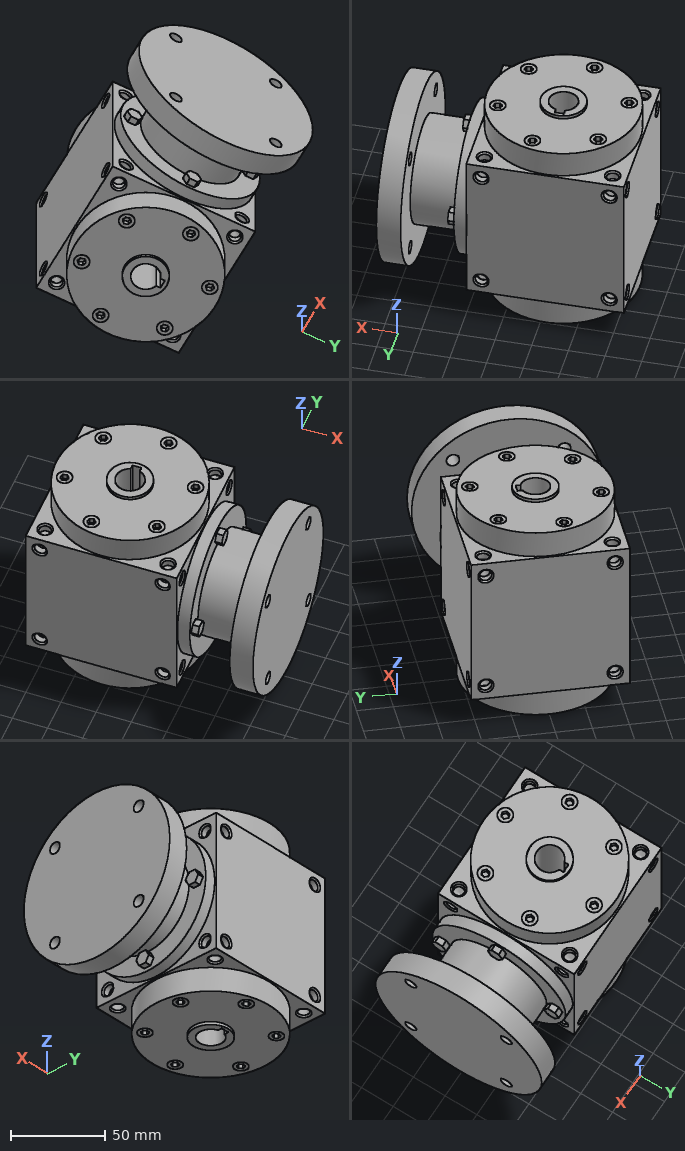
import cadquery as cq
import math


cube_side = 86.0
half_cube = cube_side / 2
cover_diameter = 84.0
cover_height = 15.0
collar_diameter = 25.0
overall_height = 120.0
half_height = overall_height / 2

bore_diameter = 16
keyway_width = 5.0
keyway_reach = 10.2

mount_offset = 35.0
mount_diameter = 6.6
mount_mouth_diameter = 8.5
mount_depth = 4.8
drill_tip_angle = 118

hexagon_sides = 6

screw_count = 6
screw_circle_radius = 35.0
screw_first_angle = 15
screw_head_diameter = 8.5
screw_head_recess = 0.07
socket_flats = 4
socket_depth = 3.2

overall_length = 133
plate_diameter = cover_diameter
plate_thickness = 7.0
neck_diameter = 60.0
flange_diameter = 105.0
flange_thickness = 13.3
flange_end = overall_length - half_cube
flange_face = flange_end - flange_thickness
flange_hole_count = 4
flange_hole_diameter = 7.0
flange_hole_circle_radius = 42.5
flange_hole_first_angle = 45

bolt_count = 4
bolt_circle_radius = 35.5
bolt_flats = 8
bolt_head_height = 3.9
plate_face = half_cube + plate_thickness


def corners_across(flats):
    """Corner-to-corner width of a hexagon with the given width across flats."""
    return flats / math.cos(math.pi / hexagon_sides)


def polar_points(radius, count, first_angle):
    """Evenly spaced points on a circle."""
    angles = [math.radians(first_angle + i * 360 / count) for i in range(count)]
    return [(radius * math.cos(angle), radius * math.sin(angle)) for angle in angles]


def x_cylinder(diameter, start, end):
    """Cylinder on the X axis between two X positions."""
    return cq.Workplane("YZ").workplane(offset=start).circle(diameter / 2).extrude(end - start)


def make_mounting_holes():
    """Four countersunk blind holes with drilled tips, cut downward from the top face of the cube."""
    hole_radius = mount_diameter / 2
    mouth_radius = mount_mouth_diameter / 2
    countersink_depth = mouth_radius - hole_radius
    tip_depth = hole_radius / math.tan(math.radians(drill_tip_angle / 2))
    hole = (
        cq.Workplane("XZ")
        .moveTo(0, 0)
        .lineTo(mouth_radius, 0)
        .lineTo(hole_radius, -countersink_depth)
        .lineTo(hole_radius, -mount_depth)
        .lineTo(0, -mount_depth - tip_depth)
        .close()
        .revolve(360, (0, 0, 0), (0, 1, 0))
        .val()
    )
    return (
        cq.Workplane("XY")
        .workplane(offset=half_cube)
        .rect(2 * mount_offset, 2 * mount_offset, forConstruction=True)
        .vertices()
        .eachpoint(lambda place: hole.moved(place))
    )


def make_cover_screw_recesses():
    """Shallow screw head recesses and hexagon sockets in the top cover, turned to follow their circle."""
    centres = polar_points(screw_circle_radius, screw_count, 0)
    cover_face = cq.Workplane("XY").workplane(offset=half_cube + cover_height)
    screw_places = cover_face.pushPoints(centres)
    recesses = screw_places.circle(screw_head_diameter / 2).extrude(-screw_head_recess)
    sockets = screw_places.polygon(hexagon_sides, corners_across(socket_flats)).extrude(-socket_depth)
    return recesses.union(sockets).rotate((0, 0, 0), (0, 0, 1), screw_first_angle)


def make_bore():
    """Through bore and keyway along Z."""
    bore = cq.Workplane("XY").circle(bore_diameter / 2).extrude(half_height, both=True)
    keyway = cq.Workplane("XY").box(keyway_width, keyway_reach, overall_height)
    keyway = keyway.translate((0, keyway_reach / 2, 0))
    return bore.union(keyway)


def make_housing():
    """Cube with both covers and collars, its bore, mounting holes and cover screws."""
    body = cq.Workplane("XY").box(cube_side, cube_side, cube_side)
    covers = cq.Workplane("XY").circle(cover_diameter / 2).extrude(half_cube + cover_height, both=True)
    collars = cq.Workplane("XY").circle(collar_diameter / 2).extrude(half_height, both=True)
    body = body.union(covers).union(collars).cut(make_bore())

    top_holes = make_mounting_holes()
    for angle in (0, 90, 180, 270):
        body = body.cut(top_holes.rotate((0, 0, 0), (1, 0, 0), angle))
    for angle in (90, -90):
        body = body.cut(top_holes.rotate((0, 0, 0), (0, 1, 0), angle))

    top_screws = make_cover_screw_recesses()
    return body.cut(top_screws).cut(top_screws.mirror("XY"))


def make_adapter():
    """Bolted plate, neck and motor flange in one piece."""
    body = x_cylinder(plate_diameter, half_cube, plate_face)
    body = body.union(x_cylinder(neck_diameter, plate_face, flange_face))
    body = body.union(x_cylinder(flange_diameter, flange_face, flange_end))
    holes = (
        cq.Workplane("YZ")
        .workplane(offset=flange_face)
        .pushPoints(polar_points(flange_hole_circle_radius, flange_hole_count, flange_hole_first_angle))
        .circle(flange_hole_diameter / 2)
        .extrude(flange_thickness)
    )
    return body.cut(holes)


def make_bolt(y, z):
    """Hexagon bolt head on the adapter plate, with two corners along Y."""
    return (
        cq.Workplane("YZ")
        .workplane(offset=plate_face)
        .center(y, z)
        .polygon(hexagon_sides, corners_across(bolt_flats))
        .extrude(bolt_head_height)
    )


housing = make_housing()
adapter = make_adapter()
bolts = [make_bolt(y, z) for y, z in polar_points(bolt_circle_radius, bolt_count, 0)]

result = cq.Compound.makeCompound([housing.val(), adapter.val(), *[bolt.val() for bolt in bolts]])